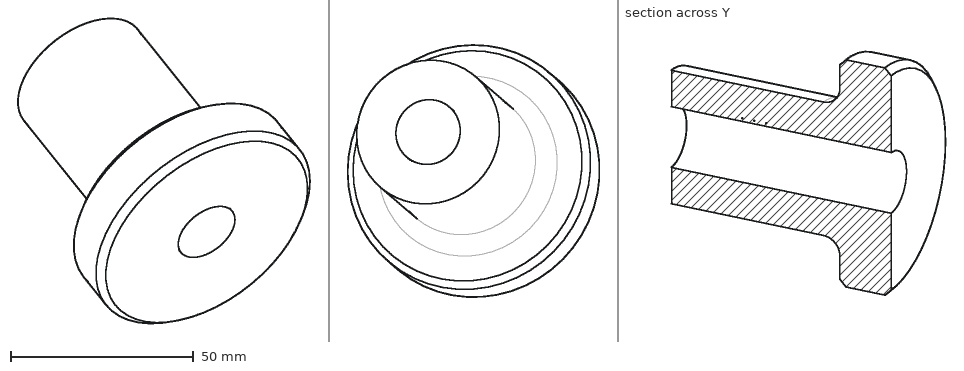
import cadquery as cq

total_length = 68.0
flange_diameter = 68.0
flange_thickness = 16.0
flange_chamfer = 2.0
sleeve_diameter = 40.0
bore_diameter = 18.0
root_fillet = 5.0

sleeve_length = total_length - flange_thickness


def cylinder_along_x(start, length, diameter):
    """Solid cylinder on the X axis, growing toward +X from start."""
    return cq.Workplane("YZ", origin=(start, 0, 0)).circle(diameter / 2).extrude(length)


flange = cylinder_along_x(sleeve_length, flange_thickness, flange_diameter)
flange = flange.edges().chamfer(flange_chamfer)

sleeve = cylinder_along_x(0, sleeve_length, sleeve_diameter)
root_edge = cq.selectors.RadiusNthSelector(0)
body = flange.union(sleeve)
body = body.faces("<X[1]").edges(root_edge).fillet(root_fillet)

result = body.cut(cylinder_along_x(0, total_length, bore_diameter))